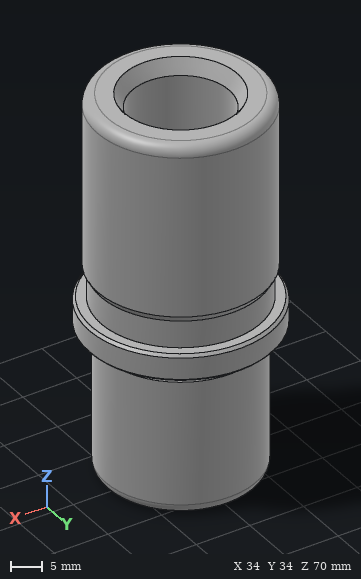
import cadquery as cq
import math

total_height = 70.0
collar_bottom = 27.0
collar_top = 32.0
undercut_height = 2.0
neck_taper_start = 37.0

lower_radius = 14.0
undercut_radius = 13.3
collar_radius = 17.0
neck_radius = 14.8
upper_radius = 15.5

neck_taper_angle = 30.0
neck_taper_end = neck_taper_start + (upper_radius - neck_radius) / math.tan(math.radians(neck_taper_angle))

end_round = 2.0
collar_chamfer = 0.5

bore_radius = 9.0
mouth_radius = 10.5
mouth_half_angle = 30.0
mouth_depth = (mouth_radius - bore_radius) / math.tan(math.radians(mouth_half_angle))


def add_arc(profile, centre, radius, start_angle, end_angle):
    """Continue the profile along an arc about centre; angles in degrees."""

    def point_at(angle):
        turn = math.radians(angle)
        return (centre[0] + radius * math.cos(turn), centre[1] + radius * math.sin(turn))

    return profile.threePointArc(point_at((start_angle + end_angle) / 2), point_at(end_angle))


def outer_body():
    """Solid of revolution with a collar, an undercut below it and a neck above it."""
    undercut_bottom = collar_bottom - undercut_height
    undercut_step = lower_radius - undercut_radius
    undercut_arc_radius = (undercut_step**2 + undercut_height**2) / (2 * undercut_step)
    undercut_centre = (undercut_radius + undercut_arc_radius, collar_bottom)
    undercut_sweep = math.degrees(math.asin(undercut_height / undercut_arc_radius))

    profile = cq.Workplane("XZ").moveTo(0, 0).lineTo(lower_radius - end_round, 0)
    profile = add_arc(profile, (lower_radius - end_round, end_round), end_round, -90, 0)
    profile = profile.lineTo(lower_radius, undercut_bottom)
    profile = add_arc(profile, undercut_centre, undercut_arc_radius, 180 + undercut_sweep, 180)
    profile = (
        profile.lineTo(collar_radius - collar_chamfer, collar_bottom)
        .lineTo(collar_radius, collar_bottom + collar_chamfer)
        .lineTo(collar_radius, collar_top - collar_chamfer)
        .lineTo(collar_radius - collar_chamfer, collar_top)
        .lineTo(neck_radius, collar_top)
        .lineTo(neck_radius, neck_taper_start)
        .lineTo(upper_radius, neck_taper_end)
        .lineTo(upper_radius, total_height - end_round)
    )
    upper_round_centre = (upper_radius - end_round, total_height - end_round)
    profile = add_arc(profile, upper_round_centre, end_round, 0, 90)
    profile = profile.lineTo(0, total_height).close()
    return profile.revolve(360, (0, 0, 0), (0, 1, 0))


def bore():
    """Material removed by the through bore and its conical mouth."""
    return (
        cq.Workplane("XZ")
        .moveTo(0, 0)
        .lineTo(bore_radius, 0)
        .lineTo(bore_radius, total_height - mouth_depth)
        .lineTo(mouth_radius, total_height)
        .lineTo(0, total_height)
        .close()
        .revolve(360, (0, 0, 0), (0, 1, 0))
    )


result = outer_body().cut(bore())